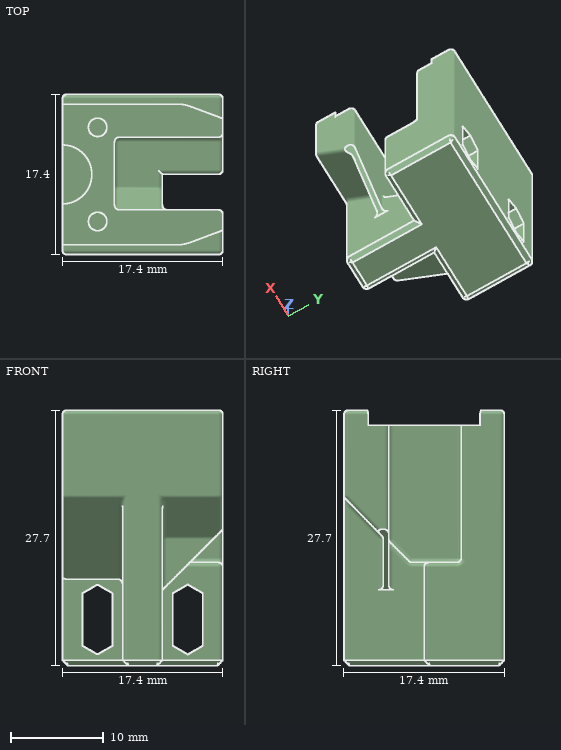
import cadquery as cq
import math

SIDE = 17.4
HEIGHT = 27.7
MIDDLE = SIDE / 2
ROUND = 0.5
FOOT_BEVEL = 0.6

NOTCH_DEPTH = MIDDLE
NOTCH_FRONT_Z = 18.28
NOTCH_BACK_Z = 9.4
RIB_WIDTH = 4.3
RIB_LEFT = MIDDLE - RIB_WIDTH / 2
RIB_RIGHT = MIDDLE + RIB_WIDTH / 2

SLOT_X = 5.65
SLOT_FRONT_Y = 4.88
SLOT_BACK_Y = 12.71
SLOT_FLOOR_Z = 11.2
RAMP_FOOT_Y = 7.2

WEB_THICKNESS = 0.6
WEB_FRONT_Y = SLOT_FRONT_Y - WEB_THICKNESS
WEB_LOW_Z = 8.23

RECESS_DEPTH = 1.63
RAIL_WIDTH = 1.08
RAIL_BEND_X = 13.19
RAIL_FLARE_ANGLE = 20.5
RAIL_BEND_RADIUS = 4.0
RECESS_Z = HEIGHT - RECESS_DEPTH
HALF_ROUND_DIAMETER = 6.4
HALF_ROUND_DEPTH = 1.0

PIN_DIAMETER = 2.0
PIN_X = 3.82
PIN_SPACING = 10.2
PIN_DEPTH = 5.98

WINDOW_WIDTH = 3.25
WINDOW_SPACING = 9.78
WINDOW_BOTTOM_Z = 1.25
WINDOW_TOP_Z = 8.78
WINDOW_POINT_ANGLE = 30

CLEAR = 1.38
TOLERANCE = 0.015


def box(x0, x1, y0, y1, z0, z1):
    return cq.Workplane("XY").box(x1 - x0, y1 - y0, z1 - z0, centered=False).translate((x0, y0, z0))


def side_prism(points, x0, x1):
    """Prism along X from a (y, z) outline."""
    return cq.Workplane("YZ").workplane(offset=x0).polyline(points).close().extrude(x1 - x0)


def front_prism(points, y0, y1):
    """Prism along Y from an (x, z) outline."""
    return cq.Workplane("XZ").workplane(offset=-y1).polyline(points).close().extrude(y1 - y0)


def ceiling_z(y):
    """Height of the sloping notch ceiling."""
    return NOTCH_FRONT_Z + (NOTCH_BACK_Z - NOTCH_FRONT_Z) * y / NOTCH_DEPTH


def ramp_z(y):
    """Height of the sloping front part of the slot floor."""
    return SLOT_FLOOR_Z + RAMP_FOOT_Y - y


def notch(x0, x1):
    outline = [
        (-CLEAR, -CLEAR),
        (NOTCH_DEPTH, -CLEAR),
        (NOTCH_DEPTH, NOTCH_BACK_Z),
        (-CLEAR, ceiling_z(-CLEAR)),
    ]
    return side_prism(outline, x0, x1)


def inner_slot():
    outline = [
        (SLOT_FRONT_Y, ramp_z(SLOT_FRONT_Y)),
        (RAMP_FOOT_Y, SLOT_FLOOR_Z),
        (SLOT_BACK_Y, SLOT_FLOOR_Z),
        (SLOT_BACK_Y, HEIGHT + CLEAR),
        (SLOT_FRONT_Y, HEIGHT + CLEAR),
    ]
    upper = side_prism(outline, SLOT_X, SIDE + CLEAR)
    drop = box(RIB_RIGHT, SIDE + CLEAR, SLOT_FRONT_Y, NOTCH_DEPTH, -CLEAR, HEIGHT)
    return upper.union(drop)


def sharp_body():
    """Block with its notches and slot, all edges still sharp and the web reaching the base."""
    body = box(0, SIDE, 0, SIDE, 0, HEIGHT)
    web = box(RIB_RIGHT, SIDE + CLEAR, WEB_FRONT_Y, SLOT_FRONT_Y, -CLEAR, HEIGHT)
    body = body.cut(notch(-CLEAR, RIB_LEFT))
    body = body.cut(notch(RIB_RIGHT, SIDE + CLEAR).cut(web))
    return body.cut(inner_slot())


def round_through(body, points):
    """Round every edge that passes through one of the points."""
    marks = [cq.Vertex.makeVertex(*point) for point in points]
    chosen = [edge for edge in body.edges().vals() if any(edge.distance(m) < TOLERANCE for m in marks)]
    return body.newObject(chosen).fillet(ROUND)


def round_edges(body):
    """Round the edges; each one is named by a point along it."""
    left_x = RIB_LEFT / 2
    right_x = (RIB_RIGHT + SIDE) / 2
    ceiling_y = WEB_FRONT_Y / 2
    ramp_y = (SLOT_FRONT_Y + RAMP_FOOT_Y) / 2
    floor_y = (RAMP_FOOT_Y + NOTCH_DEPTH) / 2
    arm_z = (NOTCH_FRONT_Z + HEIGHT) / 2
    low_z = NOTCH_BACK_Z / 2
    outer_edges = [
        (0, 0, arm_z),
        (SIDE, 0, arm_z),
        (0, SIDE, arm_z),
        (SIDE, SIDE, arm_z),
        (MIDDLE, 0, HEIGHT),
        (MIDDLE, SIDE, HEIGHT),
        (0, MIDDLE, HEIGHT),
        (SIDE, SLOT_FRONT_Y / 2, HEIGHT),
        (SIDE, (SLOT_BACK_Y + SIDE) / 2, HEIGHT),
    ]
    notch_edges = [
        (left_x, 0, NOTCH_FRONT_Z),
        (right_x, 0, NOTCH_FRONT_Z),
        (0, ceiling_y, ceiling_z(ceiling_y)),
        (SIDE, ceiling_y, ceiling_z(ceiling_y)),
        (RIB_LEFT, 0, low_z),
        (RIB_RIGHT, 0, low_z),
        (0, NOTCH_DEPTH, low_z),
        (SIDE, NOTCH_DEPTH, low_z),
    ]
    slot_edges = [
        (SLOT_X, SLOT_FRONT_Y, arm_z),
        (SLOT_X, SLOT_BACK_Y, arm_z),
        (SIDE, SLOT_FRONT_Y, arm_z),
        (SIDE, SLOT_BACK_Y, arm_z),
        (RIB_RIGHT, SLOT_FRONT_Y, low_z),
        (SLOT_X, floor_y, SLOT_FLOOR_Z),
        (RIB_RIGHT, floor_y, SLOT_FLOOR_Z),
        (SIDE, (NOTCH_DEPTH + SLOT_BACK_Y) / 2, SLOT_FLOOR_Z),
        (MIDDLE, SLOT_BACK_Y, SLOT_FLOOR_Z),
        (right_x, NOTCH_DEPTH, SLOT_FLOOR_Z),
        (MIDDLE, RAMP_FOOT_Y, SLOT_FLOOR_Z),
        (MIDDLE, SLOT_FRONT_Y, ramp_z(SLOT_FRONT_Y)),
        (SLOT_X, ramp_y, ramp_z(ramp_y)),
        (RIB_RIGHT, ramp_y, ramp_z(ramp_y)),
    ]
    notch_roots = [
        (RIB_LEFT, ceiling_y, ceiling_z(ceiling_y)),
        (RIB_RIGHT, ceiling_y, ceiling_z(ceiling_y)),
        (RIB_RIGHT, WEB_FRONT_Y, low_z),
        (right_x, WEB_FRONT_Y, ceiling_z(WEB_FRONT_Y)),
    ]
    body = round_through(body, outer_edges + notch_edges + slot_edges)
    return round_through(body, notch_roots)


def under_web():
    """Space below the web, which also trims the tip of the front arm."""
    reach = SIDE + CLEAR - RIB_RIGHT
    outline = [
        (RIB_RIGHT, WEB_LOW_Z),
        (SIDE + CLEAR, WEB_LOW_Z + reach),
        (SIDE + CLEAR, -CLEAR),
        (RIB_RIGHT, -CLEAR),
    ]
    return front_prism(outline, -CLEAR, NOTCH_DEPTH)


def foot_bevel():
    """Material outside a T-shaped foot that widens at 45 degrees up to the full outline."""
    b = FOOT_BEVEL
    outline = [
        (b, SIDE - b),
        (b, NOTCH_DEPTH + b),
        (RIB_LEFT + b, NOTCH_DEPTH + b),
        (RIB_LEFT + b, b),
        (RIB_RIGHT - b, b),
        (RIB_RIGHT - b, NOTCH_DEPTH + b),
        (SIDE - b, NOTCH_DEPTH + b),
        (SIDE - b, SIDE - b),
    ]
    foot = cq.Workplane("XY").polyline(outline).close().extrude(b, taper=-45)
    return box(-CLEAR, SIDE + CLEAR, -CLEAR, SIDE + CLEAR, 0, b).cut(foot)


def top_recess():
    """Recess open at both ends, narrowing between rails that flare inward towards +X."""
    run = SIDE + CLEAR - RAIL_BEND_X
    flare = math.tan(math.radians(RAIL_FLARE_ANGLE))
    half = MIDDLE - RAIL_WIDTH
    outline = [
        (-CLEAR, -half),
        (RAIL_BEND_X, -half),
        (RAIL_BEND_X + run, -half + run * flare),
        (RAIL_BEND_X + run, half - run * flare),
        (RAIL_BEND_X, half),
        (-CLEAR, half),
    ]
    recess = cq.Workplane("XY").polyline(outline).close().extrude(RECESS_DEPTH + CLEAR)
    bends = cq.selectors.BoxSelector(
        (RAIL_BEND_X - TOLERANCE, -SIDE, 0),
        (RAIL_BEND_X + TOLERANCE, SIDE, HEIGHT),
    )
    recess = recess.edges("|Z").edges(bends).fillet(RAIL_BEND_RADIUS)
    return recess.translate((0, MIDDLE, RECESS_Z))


def round_cut(diameter, x, y, depth):
    """Round pocket sunk from the recess floor."""
    return cq.Workplane("XY").circle(diameter / 2).extrude(depth).translate((x, y, RECESS_Z - depth))


def window(x):
    """Upright slot through the wall, pointed at both ends."""
    half = WINDOW_WIDTH / 2
    point_height = half * math.tan(math.radians(WINDOW_POINT_ANGLE))
    outline = [
        (x, WINDOW_BOTTOM_Z),
        (x + half, WINDOW_BOTTOM_Z + point_height),
        (x + half, WINDOW_TOP_Z - point_height),
        (x, WINDOW_TOP_Z),
        (x - half, WINDOW_TOP_Z - point_height),
        (x - half, WINDOW_BOTTOM_Z + point_height),
    ]
    return front_prism(outline, -CLEAR, SIDE + CLEAR)


result = round_edges(sharp_body())
result = result.cut(under_web())
result = result.cut(foot_bevel())
result = result.cut(top_recess())
result = result.cut(round_cut(HALF_ROUND_DIAMETER, 0, MIDDLE, HALF_ROUND_DEPTH))
for side in (-1, 1):
    result = result.cut(round_cut(PIN_DIAMETER, PIN_X, MIDDLE + side * PIN_SPACING / 2, PIN_DEPTH))
    result = result.cut(window(MIDDLE + side * WINDOW_SPACING / 2))